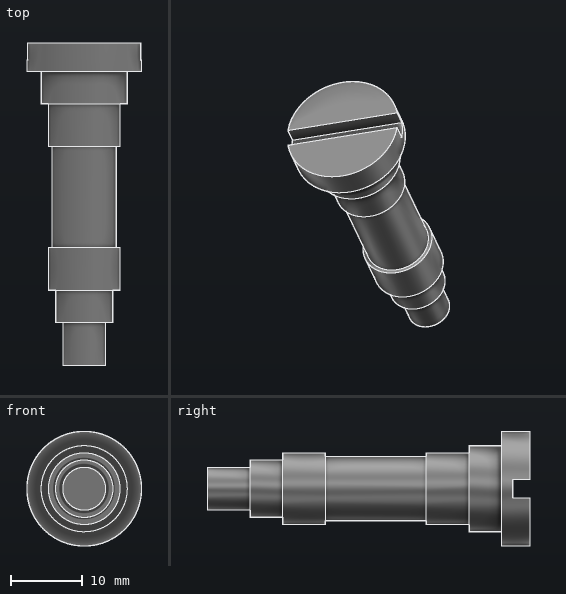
import cadquery as cq

total_length = 45.0
head_diameter = 16.0
head_length = 4.0
collar_diameter = 12.0
journal_diameter = 10.0
journal_length = 6.0
waist_diameter = 9.0
shoulder_diameter = 8.0
step_length = 4.5
tip_diameter = 6.0
tip_length = 6.0
slot_width = 2.5
slot_depth = 2.45

waist_length = total_length - head_length - 2 * step_length - 2 * journal_length - tip_length

sections = [
    (tip_diameter, tip_length),
    (shoulder_diameter, step_length),
    (journal_diameter, journal_length),
    (waist_diameter, waist_length),
    (journal_diameter, journal_length),
    (collar_diameter, step_length),
    (head_diameter, head_length),
]


def stepped_pin():
    """Half profile of the sections, revolved about the Y axis."""
    profile = cq.Workplane("XY").moveTo(0, 0)
    y = 0
    for diameter, length in sections:
        profile = profile.lineTo(diameter / 2, y)
        y += length
        profile = profile.lineTo(diameter / 2, y)
    return profile.lineTo(0, y).close().revolve(360, (0, 0, 0), (0, 1, 0))


def screwdriver_slot():
    """Slot along X, across the whole end face of the head."""
    slot = cq.Workplane("XY").box(head_diameter, slot_depth, slot_width)
    return slot.translate((0, total_length - slot_depth / 2, 0))


result = stepped_pin().cut(screwdriver_slot())